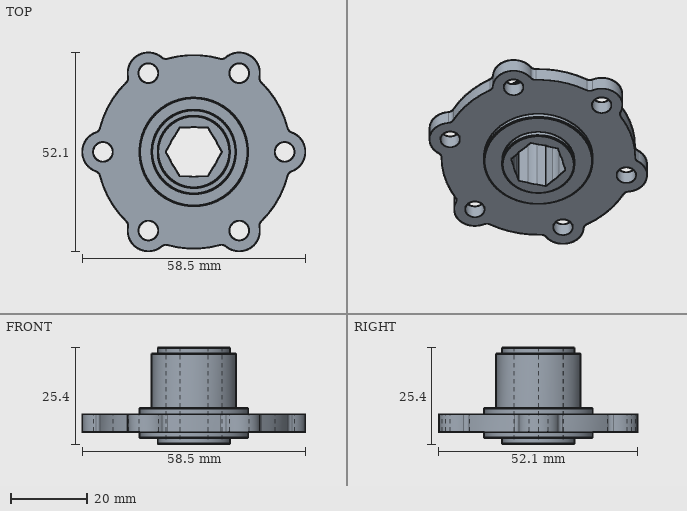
import cadquery as cq
import math

plate_diameter = 50.8
plate_thickness = 4.7625
lug_count = 6
lug_radius = 5.45
bolt_circle_diameter = 47.625
bolt_hole_diameter = 5.1
lug_blend_radius = 1.5875

step_height = 1.5875
collar_diameter = 28.575
hub_diameter = 22.225
hub_length = 14.2875
end_diameter = 19.05
edge_chamfer = 0.25

hex_sides = 6
hex_across_flats = 12.75
relief_diameter = 12.98

lower_collar_z = step_height
plate_z = lower_collar_z + step_height
upper_collar_z = plate_z + plate_thickness
hub_z = upper_collar_z + step_height
upper_end_z = hub_z + hub_length
total_height = upper_end_z + step_height


def cylinder(diameter, bottom, top):
    return cq.Workplane("XY").workplane(offset=bottom).circle(diameter / 2).extrude(top - bottom)


def at_lugs(bottom):
    """Workplane at the given level with one point on each lug centre."""
    plane = cq.Workplane("XY").workplane(offset=bottom)
    return plane.polarArray(bolt_circle_diameter / 2, 0, 360, lug_count)


def make_flange():
    """Round plate with blended lugs and a bolt hole in each lug."""
    plate = cylinder(plate_diameter, plate_z, upper_collar_z)
    lugs = at_lugs(plate_z).circle(lug_radius).extrude(plate_thickness)
    flange = plate.union(lugs)

    bolt_radius = bolt_circle_diameter / 2
    rim_radius = plate_diameter / 2
    notch_cosine = (rim_radius**2 + bolt_radius**2 - lug_radius**2) / (2 * rim_radius * bolt_radius)
    notch_angle = math.acos(notch_cosine)
    pick_size = 0.5
    for lug in range(lug_count):
        for side in (-1, 1):
            angle = 2 * math.pi * lug / lug_count + side * notch_angle
            x = rim_radius * math.cos(angle)
            y = rim_radius * math.sin(angle)
            pick_box = cq.selectors.BoxSelector(
                (x - pick_size, y - pick_size, plate_z),
                (x + pick_size, y + pick_size, upper_collar_z),
            )
            flange = flange.edges("|Z").edges(pick_box).fillet(lug_blend_radius)

    holes = at_lugs(plate_z).circle(bolt_hole_diameter / 2).extrude(plate_thickness)
    return flange.cut(holes)


def make_turned_body():
    """Stepped shaft: each step has a chamfer on its exposed outer edge."""
    lower_end = cylinder(end_diameter, 0, lower_collar_z).faces("<Z").chamfer(edge_chamfer)
    collars = cylinder(collar_diameter, lower_collar_z, hub_z).faces("<Z or >Z").chamfer(edge_chamfer)
    hub = cylinder(hub_diameter, hub_z, upper_end_z).faces(">Z").chamfer(edge_chamfer)
    upper_end = cylinder(end_diameter, upper_end_z, total_height).faces(">Z").chamfer(edge_chamfer)
    return lower_end.union(collars).union(hub).union(upper_end)


def make_bore():
    """Through hexagon with two corners on the X axis, joined with the relief bore."""
    hex_across_corners = hex_across_flats / math.cos(math.pi / hex_sides)
    hexagon = cq.Workplane("XY").polygon(hex_sides, hex_across_corners).extrude(total_height)
    return hexagon.union(cylinder(relief_diameter, 0, total_height))


result = make_flange().union(make_turned_body()).cut(make_bore())